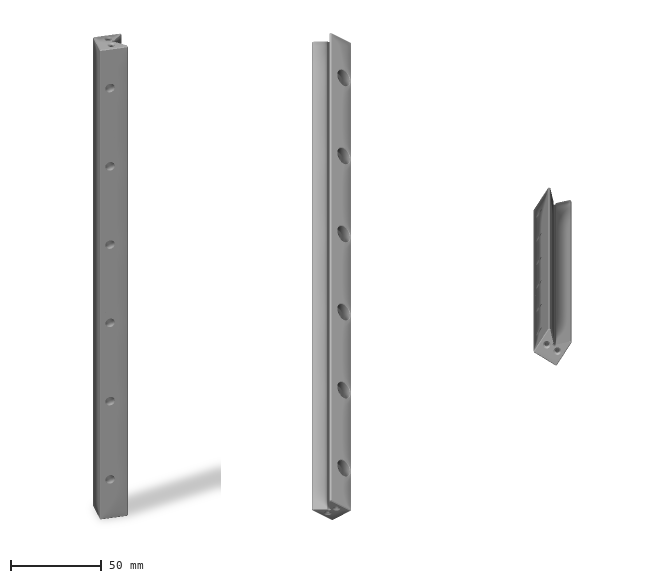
import cadquery as cq
import math

width = 15.0
height = 16.0
length = 300.0
edge_chamfer = 0.45
base_y = -height / 2

tip_inset = 1.05
groove_half_width = width / 2 - tip_inset
groove_depth = groove_half_width

relief_width = 1.8
relief_depth = 7.0

hole_count = 6
hole_pitch = length / hole_count
hole_y = base_y + 5.7
hole_diameter = 5.5
counterbore_diameter = 9.5
counterbore_mouth_diameter = 10.2
counterbore_depth = 5.0

end_hole_spacing = 7.0
end_hole_y = base_y + 7.5
end_hole_diameter = 2.5
end_hole_mouth_diameter = 4.2
end_hole_depth = 9.0

countersink_angle = 45


def make_body():
    """Rectangular bar with every outer edge chamfered."""
    return cq.Workplane("XY").box(width, height, length).edges().chamfer(edge_chamfer)


def make_groove():
    """Triangular prism that cuts the V over the full length."""
    return (
        cq.Workplane("XY", origin=(0, height / 2, -length / 2))
        .moveTo(-groove_half_width, 0)
        .lineTo(0, -groove_depth)
        .lineTo(groove_half_width, 0)
        .close()
        .extrude(length)
    )


def make_relief():
    """Rectangular slot that clears the bottom of the groove over the full length."""
    centre_y = height / 2 - relief_depth / 2
    return cq.Workplane("XY", origin=(0, centre_y, 0)).box(relief_width, relief_depth, length)


def make_countersink(face, mouth_diameter, bore_diameter):
    """Cone that widens a bore to its mouth on the given workplane."""
    depth = (mouth_diameter - bore_diameter) / 2 / math.tan(math.radians(countersink_angle))
    return face.circle(mouth_diameter / 2).extrude(depth, taper=countersink_angle)


def make_mounting_hole(z):
    """Through hole with a counterbore, its mouth chamfered, in the -X face."""
    face = cq.Workplane("YZ", origin=(-width / 2, hole_y, z))
    through = face.circle(hole_diameter / 2).extrude(width)
    counterbore = face.circle(counterbore_diameter / 2).extrude(counterbore_depth)
    mouth = make_countersink(face, counterbore_mouth_diameter, counterbore_diameter)
    return through.union(counterbore).union(mouth)


def make_end_hole(x, end):
    """Blind countersunk hole drilled inward from the +Z end (end = 1) or the -Z end (end = -1)."""
    face = cq.Workplane(cq.Plane((x, end_hole_y, end * length / 2), xDir=(1, 0, 0), normal=(0, 0, -end)))
    bore = face.circle(end_hole_diameter / 2).extrude(end_hole_depth)
    mouth = make_countersink(face, end_hole_mouth_diameter, end_hole_diameter)
    return bore.union(mouth)


result = make_body().cut(make_groove()).cut(make_relief())

first_hole_z = -hole_pitch * (hole_count - 1) / 2
for index in range(hole_count):
    result = result.cut(make_mounting_hole(first_hole_z + index * hole_pitch))

for end in (1, -1):
    for side in (-1, 1):
        result = result.cut(make_end_hole(side * end_hole_spacing / 2, end))